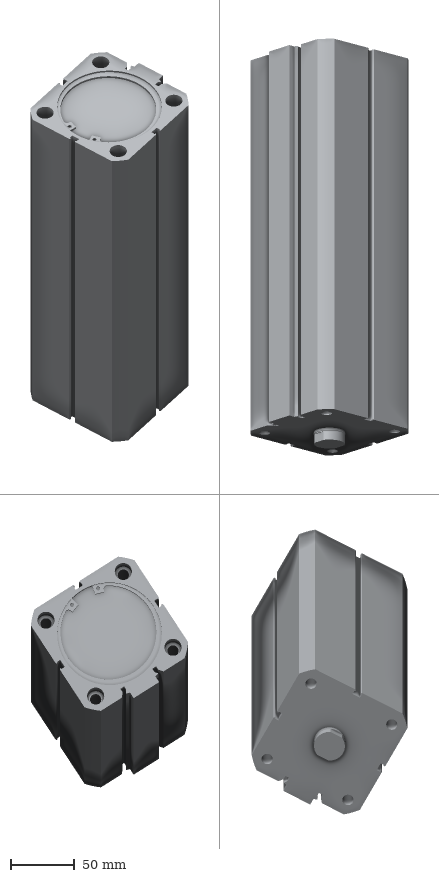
import cadquery as cq
import math

total_height = 313.5
rod_reach = 9.7
body_width = 96.5
corner_diameter = 124.0
body_height = total_height - rod_reach
half_width = body_width / 2

rail_top = 53.5
rail_half_width = 12.0
rail_barb_half_width = 15.0
rail_barb_y = 47.3
rail_foot_half_width = 13.2
rail_foot_y = 44.8
relief_half_width = 16.5
relief_floor = 41.7
relief_mouth_half_width = 19.5

slot_mouth = 4.7
slot_mouth_chamfer = 0.5
slot_lip = 1.3
slot_width = 6.5
slot_depth = 4.5

hole_pitch = 72.0
hole_diameter = 8.8
counterbore_diameter = 13.5
counterbore_depth = 14.0

recess_radius = 41.0
ring_sink = 1.5
ring_thickness = 2.0
cover_thickness = 12.5
ring_inner_radius = 37.5
ring_offset = 1.5
lug_inner_radius = 34.0
lug_start_angle = 13.5
lug_end_angle = 25.5
lug_hole_radius = 1.5
lug_hole_angle = 19.0
lug_fillet = 2.5
lug_hole_circle = 37.5
recess_depth = ring_sink + ring_thickness + cover_thickness

rod_diameter = 24.8
rod_tip_diameter = 24.0
rod_collar = 2.0
rod_taper = 0.3
rod_across_flats = 22.0
rod_flat_height = 7.0
rod_seat = 25.0


def cylinder(radius, bottom, height):
    return cq.Workplane("XY").workplane(offset=bottom).circle(radius).extrude(height)


def sensor_slot():
    """T-shaped slot cut for the -Y face."""
    lip_y = -half_width + slot_lip
    floor_y = -half_width + slot_depth
    mouth_x = slot_mouth / 2
    pocket_x = slot_width / 2
    half_outline = [
        (mouth_x + slot_mouth_chamfer, -half_width),
        (mouth_x, -half_width + slot_mouth_chamfer),
        (mouth_x, lip_y),
        (pocket_x, lip_y),
        (pocket_x, floor_y),
    ]
    mirrored_outline = [(-x, y) for x, y in reversed(half_outline)]
    return cq.Workplane("XY").polyline(half_outline + mirrored_outline).close().extrude(body_height)


def rail():
    rail_height = rail_top - relief_floor
    center_y = relief_floor + rail_height / 2
    return (
        cq.Workplane("XY")
        .center(0, center_y)
        .rect(2 * rail_half_width, rail_height)
        .extrude(body_height)
    )


def relief_slot():
    """Slot on the +X side of the rail."""
    return (
        cq.Workplane("XY")
        .moveTo(rail_foot_half_width, relief_floor)
        .lineTo(relief_half_width, relief_floor)
        .lineTo(relief_half_width, rail_foot_y)
        .lineTo(relief_mouth_half_width, half_width)
        .lineTo(rail_half_width, half_width)
        .lineTo(rail_barb_half_width, rail_barb_y)
        .lineTo(rail_foot_half_width, rail_foot_y)
        .close()
        .extrude(body_height)
    )


def make_housing():
    housing = cq.Workplane("XY").rect(body_width, body_width).extrude(body_height)
    housing = housing.intersect(cylinder(corner_diameter / 2, 0, body_height))
    housing = housing.union(rail())
    housing = housing.cut(relief_slot()).cut(relief_slot().mirror("YZ"))
    for angle in (-90, 0, 90):
        housing = housing.cut(sensor_slot().rotate((0, 0, 0), (0, 0, 1), angle))
    housing = (
        housing.faces(">Z")
        .workplane(origin=(0, 0, body_height))
        .rect(hole_pitch, hole_pitch, forConstruction=True)
        .vertices()
        .cboreHole(hole_diameter, counterbore_diameter, counterbore_depth)
    )
    housing = housing.cut(cylinder(recess_radius, body_height - recess_depth, recess_depth))
    return housing.cut(cylinder(rod_diameter / 2, 0, rod_seat))


def make_cover():
    return cylinder(recess_radius, body_height - recess_depth, cover_thickness)


def make_rod():
    tip_radius = rod_tip_diameter / 2
    rod = (
        cq.Workplane("XZ")
        .moveTo(0, -rod_reach)
        .lineTo(tip_radius, -rod_reach)
        .lineTo(tip_radius, -rod_collar - rod_taper)
        .lineTo(rod_diameter / 2, -rod_collar)
        .lineTo(rod_diameter / 2, rod_seat)
        .lineTo(0, rod_seat)
        .close()
        .revolve(360, (0, 0, 0), (0, 1, 0))
    )
    for side in (-1, 1):
        flat = cq.Workplane("XY").box(rod_diameter, rod_diameter, rod_flat_height)
        flat_y = side * (rod_across_flats + rod_diameter) / 2
        rod = rod.cut(flat.translate((0, flat_y, -rod_reach + rod_flat_height / 2)))
    return rod


def polar(radius, angle):
    """Point at an angle in degrees from -Y, turning towards +X."""
    turn = math.radians(angle)
    return (radius * math.sin(turn), -radius * math.cos(turn))


def sector(radius, start, end, bottom, height):
    return (
        cq.Workplane("XY")
        .workplane(offset=bottom)
        .lineTo(*polar(radius, start))
        .threePointArc(polar(radius, (start + end) / 2), polar(radius, end))
        .close()
        .extrude(height)
    )


def lug_root(side):
    """Middle of the edge where the lug side meets the inner circle of the ring."""
    turn = math.radians(lug_end_angle)
    half_chord = math.sqrt(ring_inner_radius**2 - (ring_offset * math.sin(turn)) ** 2)
    root_x, root_y = polar(ring_offset * math.cos(turn) + half_chord, side * lug_end_angle)
    return (root_x, root_y, body_height - ring_sink - ring_thickness / 2)


def make_ring():
    bottom = body_height - ring_sink - ring_thickness
    ring = cylinder(recess_radius, bottom, ring_thickness)
    opening = cylinder(ring_inner_radius, bottom, ring_thickness)
    ring = ring.cut(opening.translate((0, -ring_offset, 0)))
    ring = ring.cut(sector(2 * recess_radius, -lug_start_angle, lug_start_angle, bottom, ring_thickness))
    lug_core = cylinder(lug_inner_radius, bottom, ring_thickness)
    hole = cylinder(lug_hole_radius, bottom, ring_thickness)
    for side in (-1, 1):
        start, end = sorted((side * lug_start_angle, side * lug_end_angle))
        lug = sector(recess_radius, start, end, bottom, ring_thickness).cut(lug_core)
        hole_x, hole_y = polar(lug_hole_circle, side * lug_hole_angle)
        ring = ring.union(lug).cut(hole.translate((hole_x, hole_y, 0)))
        ring = ring.edges(cq.selectors.NearestToPointSelector(lug_root(side))).fillet(lug_fillet)
    return ring


housing = make_housing()
cover = make_cover()
retaining_ring = make_ring()
rod = make_rod()

result = cq.Compound.makeCompound([housing.val(), cover.val(), retaining_ring.val(), rod.val()])